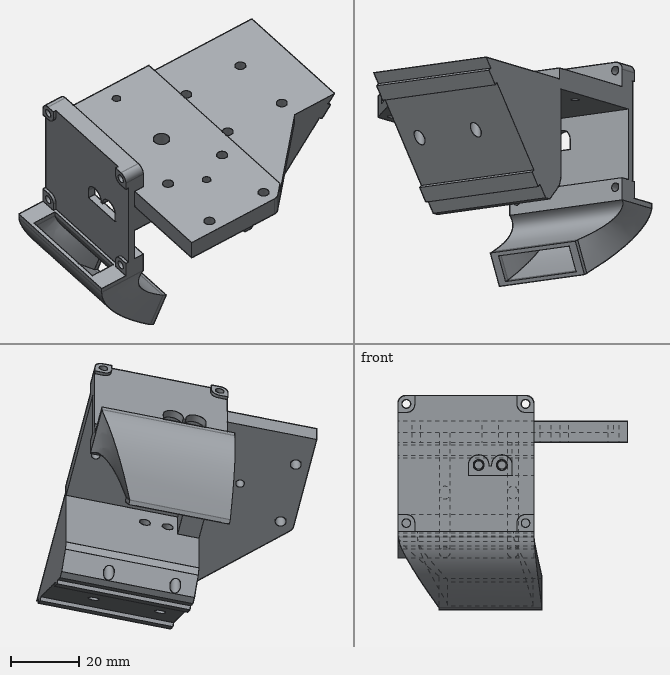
import cadquery as cq
import math

length = 86.1
plate_width = 67.4
panel_size = 40.0

boss_front = 9.0
panel_front = 9.9
panel_back = 12.2
block_back = 15.4
wedge_front = 47.2
step_y = 48.1

plate_top = -7.6
rear_top = -10.85
plate_bottom = -13.8
rib_bottom = -23.4
lower_block_top = -34.9
flange_bottom = -41.5
wedge_bottom = -47.7
duct_bottom = -62.9

diagonal_start_y = 71.3
plate_corner_radius = 2.6

slope_angle = math.radians(50)
pad_height = 1.2
pad_length = 5.0
pad_starts = (3.8, 38.6)
toe_width = 2.15
toe_chamfer = 4.8
toe_bevel_width = 0.95
toe_bevel_height = 2.6

screw_diameter = 3.2
pilot_diameter = 2.5
centre_diameter = 4.7
carriage_pitch = 20.0
rear_group = (23.8, 61.3)
side_group = (53.3, 31.95)
centre_hole = (27.1, 31.95)
pilot_pitch = 21.7
fan_hole_pitch = 35.0
boss_size = 5.0
boss_radius = 2.4

window_x = 27.1
window_z = -20.4
window_pitch = 6.8
window_radius = 3.0
notch_depth = 0.35
window_points = [(window_x + side * window_pitch / 2, window_z) for side in (-1, 1)]
screw_bore_depth = 2.6
pilot_depth = 12.9

inlet_left = 5.8
inlet_right = 33.9
inlet_front = 1.2
outlet_shift_left = 12.1
outlet_shift_right = 2.3
shift_exponent = 1.4
outlet_wall = 1.2
outlet_side_wall = 2.6
wall_exponent = 3
front_bend = (0, flange_bottom - 9.0)
front_end = (17.4, duct_bottom)
back_bend = (9.1, flange_bottom - 4.4)
back_end = (22.1, flange_bottom - 12.15)
lip_length = 1.4
section_count = 7


def block(x, y, z):
    """Box between the two limits given for each axis."""
    size = (x[1] - x[0], y[1] - y[0], z[1] - z[0])
    return cq.Workplane().box(*size, centered=False).translate((x[0], y[0], z[0]))


def square_group(centre, pitch):
    half = pitch / 2
    return [(centre[0] + i * half, centre[1] + j * half) for i in (-1, 1) for j in (-1, 1)]


def vertical_holes(points, diameter):
    drill_length = plate_top - duct_bottom
    return (cq.Workplane("XY", origin=(0, 0, duct_bottom)).pushPoints(points)
            .circle(diameter / 2).extrude(drill_length))


def front_holes(points, diameter, start, depth):
    """Cylinders along +Y at (x, z) points."""
    return (cq.Workplane("XZ", origin=(0, start, 0)).pushPoints(points)
            .circle(diameter / 2).extrude(-depth))


def make_plate():
    diagonal_end_y = diagonal_start_y - (plate_width - panel_size)
    outline = [(0, panel_back), (plate_width, panel_back), (plate_width, diagonal_end_y),
               (panel_size, diagonal_start_y), (0, diagonal_start_y)]
    plate = (cq.Workplane("XY", origin=(0, 0, plate_bottom)).polyline(outline).close()
             .extrude(plate_top - plate_bottom))
    plate = plate.edges(cq.selectors.NearestToPointSelector(
        (plate_width, diagonal_end_y, (plate_top + plate_bottom) / 2))).fillet(plate_corner_radius)
    step = block((0, plate_width), (step_y, length), (rear_top, plate_top))
    return plate.cut(step)


def on_slope(distance, height=0.0):
    """Point (y, z) on the sloping back, raised square to it by height."""
    y = length - distance * math.cos(slope_angle) + height * math.sin(slope_angle)
    z = rear_top - distance * math.sin(slope_angle) - height * math.cos(slope_angle)
    return (y, z)


def make_wedge():
    slope_length = (rear_top - wedge_bottom) / math.sin(slope_angle)
    outline = [on_slope(0)]
    for start in pad_starts:
        end = start + pad_length
        outline += [on_slope(start), on_slope(start, pad_height),
                    on_slope(end, pad_height), on_slope(end)]
    toe = on_slope(slope_length)
    chamfer_top = wedge_bottom + toe_chamfer
    outline += [toe, (toe[0] - toe_width, wedge_bottom),
                (wedge_front + toe_bevel_width, chamfer_top),
                (wedge_front, chamfer_top + toe_bevel_height), (wedge_front, rear_top)]
    return cq.Workplane("YZ").polyline(outline).close().extrude(panel_size)


def make_panel():
    full_width = (0, panel_size)
    panel = block(full_width, (boss_front, panel_back), (flange_bottom, 0))
    panel = panel.union(block(full_width, (boss_front, block_back), (plate_bottom, 0)))
    panel = panel.union(block(full_width, (boss_front, block_back), (flange_bottom, lower_block_top)))
    panel = panel.edges("|Y and >Z").fillet(boss_radius)

    recess = block(full_width, (boss_front, panel_front), (-panel_size, 0))
    near = boss_size / 2
    far = panel_size - near
    for x in (near, far):
        for z in (-near, -far):
            boss = (cq.Workplane("XZ", origin=(x, boss_front, z)).rect(boss_size, boss_size)
                    .extrude(boss_front - panel_front))
            inner_x = ">X" if x == near else "<X"
            inner_z = "<Z" if z == -near else ">Z"
            recess = recess.cut(boss.edges(inner_x).edges(inner_z).fillet(boss_radius))
    return panel.cut(recess)


def make_window():
    """Opening with two round lobes above a straight sill."""
    window = front_holes(window_points, 2 * window_radius, panel_front, panel_back - panel_front)
    half_width = window_pitch / 2 + window_radius
    sill = block((window_x - half_width, window_x + half_width), (panel_front, panel_back),
                 (rib_bottom, window_z - notch_depth))
    window = window.union(sill)
    for x, z in window_points:
        lower_lobe = block((x - window_radius, x + window_radius), (panel_front, panel_back), (rib_bottom, z))
        window = window.union(lower_lobe)
    return window


def make_window_screw_holes():
    bores = front_holes(window_points, screw_diameter, wedge_front, screw_bore_depth)
    return bores.union(front_holes(window_points, pilot_diameter, wedge_front, pilot_depth))


def bend_point(start, bend, end, t):
    """Point on the quadratic curve from start to end pulled towards bend."""
    return tuple((1 - t) ** 2 * a + 2 * t * (1 - t) * b + t ** 2 * c
                 for a, b, c in zip(start, bend, end))


def outlet_lip():
    """Vector (y, z) along the straight run, square to the outlet."""
    rise_y = back_end[0] - front_end[0]
    rise_z = back_end[1] - front_end[1]
    scale = lip_length / math.hypot(rise_y, rise_z)
    return (rise_z * scale, -rise_y * scale)


def duct_section(t, walls):
    """Rectangle across the duct at t, inset by (left, right, front, back) walls."""
    left_wall, right_wall, front_wall, back_wall = walls
    lip_y, lip_z = outlet_lip()
    front_stop = (front_end[0] - lip_y, front_end[1] - lip_z)
    back_stop = (back_end[0] - lip_y, back_end[1] - lip_z)
    front = bend_point((0, flange_bottom), front_bend, front_stop, t)
    back = bend_point((block_back, flange_bottom), back_bend, back_stop, t)
    across = cq.Vector(0, back[0] - front[0], back[1] - front[1]).normalized()
    front_inset = cq.Vector(0, *front) + across * front_wall
    back_inset = cq.Vector(0, *back) - across * back_wall
    sideways = t ** shift_exponent
    left = cq.Vector(outlet_shift_left * sideways + left_wall, 0, 0)
    right = cq.Vector(panel_size + outlet_shift_right * sideways - right_wall, 0, 0)
    corners = [front_inset + left, front_inset + right, back_inset + right, back_inset + left]
    return cq.Wire.makePolygon(corners, close=True)


def make_duct_loft(inlet_sides=(0, 0), inlet_depths=(0, 0), outlet_side=0.0, outlet_depth=0.0):
    """Curved run then the straight lip, inset by (left, right) side and (front, back) walls.

    The side walls thin evenly and the front and back walls thin mostly near the inlet.
    """
    sections = []
    for i in range(section_count):
        t = i / (section_count - 1)
        fade = (1 - t) ** wall_exponent
        walls = [outlet_side + (wall - outlet_side) * (1 - t) for wall in inlet_sides]
        walls += [outlet_depth + (wall - outlet_depth) * fade for wall in inlet_depths]
        sections.append(duct_section(t, walls))
    lip_end = sections[-1].translate(cq.Vector(0, *outlet_lip()))
    lip = cq.Solid.makeLoft([sections[-1], lip_end], True)
    return cq.Workplane(cq.Solid.makeLoft(sections)).union(cq.Workplane(lip))


plate_holes = vertical_holes(
    square_group(rear_group, carriage_pitch) + square_group(side_group, carriage_pitch), screw_diameter)
plate_holes = plate_holes.union(vertical_holes([centre_hole], centre_diameter))
pilot_points = [(centre_hole[0] + side * pilot_pitch, centre_hole[1]) for side in (-1, 1)]
plate_holes = plate_holes.union(vertical_holes(pilot_points, pilot_diameter))

fan_points = square_group((panel_size / 2, -panel_size / 2), fan_hole_pitch)
fan_holes = front_holes(fan_points, pilot_diameter, boss_front, block_back - boss_front)

rib_left = window_x + window_pitch / 2 + window_radius
rib = block((rib_left, panel_size), (panel_back, wedge_front), (rib_bottom, plate_bottom))
flange = block((0, panel_size), (0, block_back), (flange_bottom, -panel_size))
inlet = block((inlet_left, inlet_right), (inlet_front, boss_front), (flange_bottom, -panel_size))
inlet_sides = (inlet_left, panel_size - inlet_right)
inlet_depths = (inlet_front, block_back - boss_front)
passage = make_duct_loft(inlet_sides, inlet_depths, outlet_side_wall, outlet_wall)

bracket = make_plate().union(make_wedge()).union(rib).cut(plate_holes)
bracket = bracket.union(make_panel()).cut(fan_holes)
bracket = bracket.cut(make_window()).cut(make_window_screw_holes())
bracket = bracket.union(flange).union(make_duct_loft())
result = bracket.cut(inlet).cut(passage)